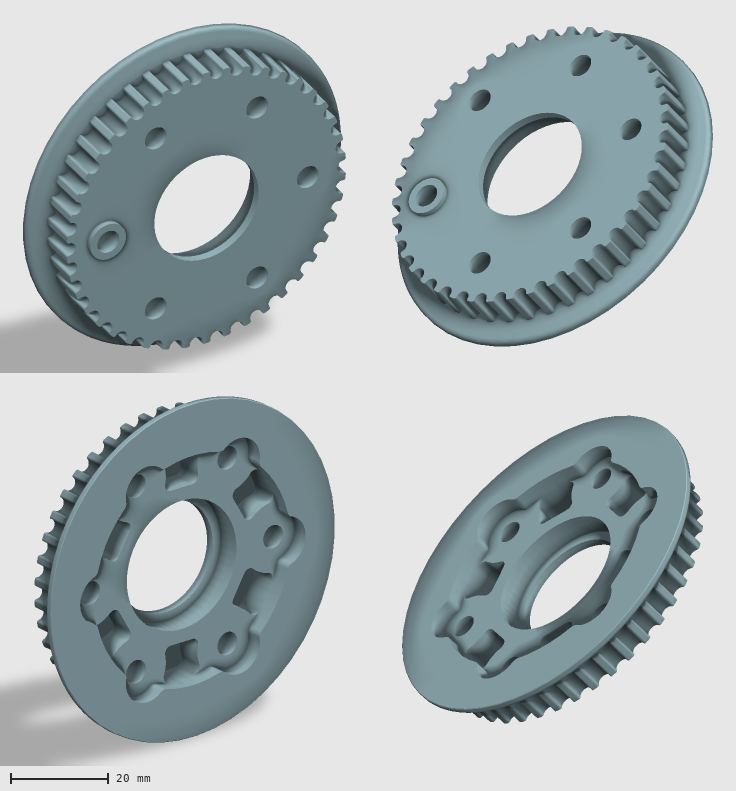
import cadquery as cq
import math

flange_radius = 37.1
rim_width = 1.6
rim_chamfer = 0.15
rim_fillet = 1.0
flange_width = 2.6

tooth_count = 42
tip_radius = 32.8
body_width = 10.85
groove_depth = 2.1
groove_radius = 1.5
tip_fillet = 0.45

bore_radius = 12.25
counterbore_diameter = 28.6
counterbore_depth = 9.0

bolt_count = 6
bolt_circle_radius = 23.8
bolt_hole_diameter = 5.1
boss_diameter = 8.4
total_width = 12.2

pocket_radius = 25.5
lobe_radius = 5.6
pocket_depth = 3.7
pocket_fillet = 1.5

window_inner_distance = 17.2
bolt_wall_radius = 7.8
window_depth = 9.5
window_fillet = 1.5


def bolt_points():
    """Y, Z places on the bolt circle."""
    step = 2 * math.pi / bolt_count
    angles = [i * step for i in range(bolt_count)]
    return [(bolt_circle_radius * math.cos(a), bolt_circle_radius * math.sin(a)) for a in angles]


def cylinder(radius, x_start, x_end, points=((0, 0),)):
    """Cylinders along X, one at each Y, Z point."""
    plane = cq.Workplane("YZ", origin=(x_start, 0, 0))
    return plane.pushPoints(points).circle(radius).extrude(x_end - x_start)


def make_flange():
    """Disc turned about the X axis, with the back corner of its rim rounded."""
    flange = (
        cq.Workplane("XY")
        .lineTo(0, flange_radius - rim_chamfer)
        .lineTo(rim_chamfer, flange_radius)
        .lineTo(rim_width, flange_radius)
        .lineTo(flange_width, tip_radius)
        .lineTo(flange_width, 0)
        .close()
        .revolve(360, (0, 0, 0), (1, 0, 0))
    )
    return flange.edges(cq.selectors.RadiusNthSelector(-1)).edges(">X").fillet(rim_fillet)


def make_groove():
    """One round-bottomed belt groove at +Y with rounded tooth tips either side."""
    bottom = tip_radius - groove_depth
    arc_center = bottom + groove_radius
    diagonal = math.sqrt(0.5)
    mouth = groove_radius + tip_fillet
    mouth_y = math.sqrt(tip_radius**2 - mouth**2)
    wall_end = mouth_y - tip_fillet
    bend_z = mouth - tip_fillet * diagonal
    bend_y = wall_end + tip_fillet * diagonal
    outside = tip_radius + groove_depth
    return (
        cq.Workplane("YZ", origin=(flange_width, 0, 0))
        .moveTo(arc_center, -groove_radius)
        .threePointArc((bottom, 0), (arc_center, groove_radius))
        .lineTo(wall_end, groove_radius)
        .threePointArc((bend_y, bend_z), (mouth_y, mouth))
        .lineTo(outside, mouth)
        .lineTo(outside, -mouth)
        .lineTo(mouth_y, -mouth)
        .threePointArc((bend_y, -bend_z), (wall_end, -groove_radius))
        .close()
        .extrude(body_width - flange_width)
    )


def make_toothed_rim():
    """Ring of belt teeth behind the flange."""
    rim = cylinder(tip_radius, flange_width, body_width)
    groove = make_groove()
    pitch_angle = 360 / tooth_count
    grooves = [groove.rotate((0, 0, 0), (1, 0, 0), i * pitch_angle).val() for i in range(tooth_count)]
    return rim.cut(cq.Workplane(cq.Compound.makeCompound(grooves)))


def make_pocket():
    """Round pocket with a lobe around each bolt hole."""
    pocket = cylinder(pocket_radius, 0, pocket_depth)
    pocket = pocket.union(cylinder(lobe_radius, 0, pocket_depth, bolt_points()))
    return pocket.edges("|X").fillet(pocket_fillet)


def make_window():
    """Window at +Z, its sides curving around the two nearest bolt holes."""
    half_width = bolt_circle_radius * math.sin(math.pi / bolt_count)
    blank = (
        cq.Workplane("YZ")
        .moveTo(0, window_inner_distance)
        .rect(2 * half_width, pocket_radius, centered=(True, False))
        .extrude(window_depth)
    )
    window = blank.intersect(cylinder(pocket_radius, 0, window_depth))
    window = window.cut(cylinder(bolt_wall_radius, 0, window_depth, bolt_points()))
    return window.edges("|X").fillet(window_fillet)


result = make_flange().union(make_toothed_rim())

recess = make_pocket()
window = make_window()
for i in range(bolt_count):
    recess = recess.union(window.rotate((0, 0, 0), (1, 0, 0), i * 360 / bolt_count))
result = result.cut(recess)

result = result.cut(cylinder(bore_radius, 0, body_width))
result = result.cut(cylinder(counterbore_diameter / 2, 0, counterbore_depth))

boss = cylinder(boss_diameter / 2, body_width, total_width, [(-bolt_circle_radius, 0)])
result = result.union(boss)
result = result.cut(cylinder(bolt_hole_diameter / 2, 0, total_width, bolt_points()))